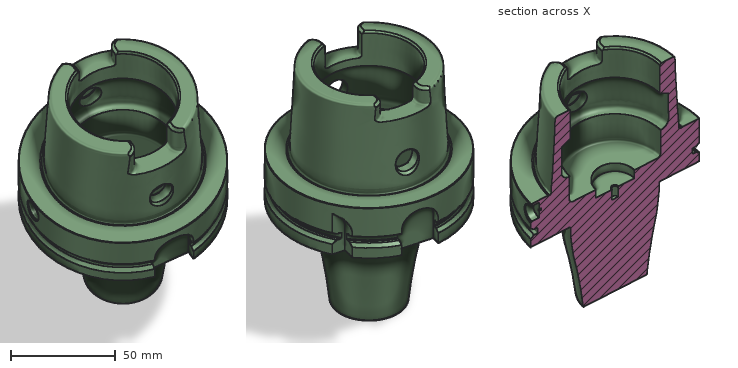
import cadquery as cq
import math

total_height = 136.9

flange_radius = 50.0
flange_bottom = 57.9
flange_top = 86.9
flange_edge_chamfer = 0.3
groove_radius = 46.0
groove_lower_edge = 63.8
groove_upper_edge = 70.4
groove_shoulder_radius = 47.9
groove_chamfer_height = 1.5
groove_bottom = groove_lower_edge + groove_chamfer_height
groove_top = groove_upper_edge - groove_chamfer_height
groove_root_fillet = 0.4

nose_radius = 26.4
nose_root_fillet = 0.7
nose_straight_end = 54.1
nose_bend_radius = 24.8
nose_bend_height = 37.9
nose_shoulder_sag = 0.3
nose_flare_sag = 0.5
nose_tip_radius = 19.0
nose_tip_chamfer = 0.7
nose_tip_chamfer_angle = 30.0

taper_large_radius = 37.9
taper_bottom = 89.7
taper_slope = 0.05
taper_top_radius = taper_large_radius - taper_slope * (total_height - taper_bottom)
rim_fillet = 2.0
neck_radius = 37.8
neck_step = 0.8
neck_fillet = 1.1
relief_outer_radius = 39.7
relief_bottom_radius = neck_radius + neck_fillet
relief_depth = 0.3
relief_bottom = flange_top - relief_depth

mouth_radius = 26.4
mouth_chamfer_radius = 27.4
mouth_chamfer_depth = mouth_chamfer_radius - mouth_radius
shoulder_depth = 19.9
shoulder_angle = 30.0
undercut_radius = 31.5
undercut_end_depth = 40.0
bore_radius = 26.8
bore_depth = 62.4
bore_floor_fillet = 2.0
undercut_fillet = undercut_radius - bore_radius
tube_seat_radius = 11.4
tube_seat_depth = 5.5
center_hole_radius = 1.6
center_hole_chamfer = 0.4
center_hole_depth = 6.8

keyway_half_width = 10.1
keyway_corner_radius = 5.5
keyway_corner_x = 27.0
keyway_depth_minus_x = 10.0
keyway_depth_plus_x = 15.2
keyway_floor_fillet = 2.0
keyway_edge_chamfer = 1.5

cross_hole_radius = 6.0
cross_hole_height = 101.9
cross_hole_chamfer = 1.1

slot_half_width_minus_x = keyway_half_width
slot_half_width_plus_x = 10.7
slot_arc_height = 71.7
slot_floor_x = 44.0
notch_center_y = 41.6
notch_floor_x = 31.8

chip_hole_radius = 4.9
chip_hole_height = 80.1
chip_hole_depth = 4.9
chip_hole_chamfer = 0.7
chip_pin_radius = 0.4
chip_pin_depth = 1.4

clearance = 13.7


def outer_body():
    """Turned outside of the nose, flange and taper."""
    flare_middle = (
        (nose_tip_radius + nose_bend_radius) / 2 - nose_flare_sag,
        (nose_tip_chamfer + nose_bend_height) / 2,
    )
    shoulder_middle = (
        (nose_bend_radius + nose_radius) / 2 + nose_shoulder_sag,
        (nose_bend_height + nose_straight_end) / 2,
    )
    tip_face_radius = nose_tip_radius - nose_tip_chamfer * math.tan(math.radians(nose_tip_chamfer_angle))
    profile = (
        cq.Workplane("XZ")
        .moveTo(0, 0)
        .lineTo(tip_face_radius, 0)
        .lineTo(nose_tip_radius, nose_tip_chamfer)
        .threePointArc(flare_middle, (nose_bend_radius, nose_bend_height))
        .threePointArc(shoulder_middle, (nose_radius, nose_straight_end))
        .lineTo(nose_radius, flange_bottom - nose_root_fillet)
        .radiusArc((nose_radius + nose_root_fillet, flange_bottom), nose_root_fillet)
        .lineTo(flange_radius, flange_bottom)
        .lineTo(flange_radius, groove_lower_edge)
        .lineTo(groove_shoulder_radius, groove_bottom)
        .lineTo(groove_radius + groove_root_fillet, groove_bottom)
        .radiusArc((groove_radius, groove_bottom + groove_root_fillet), groove_root_fillet)
        .lineTo(groove_radius, groove_top - groove_root_fillet)
        .radiusArc((groove_radius + groove_root_fillet, groove_top), groove_root_fillet)
        .lineTo(groove_shoulder_radius, groove_top)
        .lineTo(flange_radius, groove_upper_edge)
        .lineTo(flange_radius, flange_top - flange_edge_chamfer)
        .lineTo(flange_radius - flange_edge_chamfer, flange_top)
        .lineTo(relief_outer_radius, flange_top)
        .lineTo(relief_bottom_radius, relief_bottom)
        .radiusArc((neck_radius, relief_bottom + neck_fillet), neck_fillet)
        .lineTo(neck_radius, taper_bottom - neck_step)
        .lineTo(taper_large_radius, taper_bottom)
        .lineTo(taper_top_radius, total_height)
        .lineTo(0, total_height)
        .close()
    )
    body = profile.revolve(360, (0, 0), (0, 1))
    return body.faces(">Z").edges().fillet(rim_fillet)


def clamping_bore():
    """Stepped hollow inside the taper, with an undercut behind the clamping shoulder."""
    shoulder_height = total_height - shoulder_depth
    shoulder_drop = (undercut_radius - mouth_radius) * math.tan(math.radians(shoulder_angle))
    undercut_start = shoulder_height - shoulder_drop
    undercut_end = total_height - undercut_end_depth
    bore_floor = total_height - bore_depth
    seat_floor = bore_floor - tube_seat_depth
    return (
        cq.Workplane("XZ")
        .moveTo(0, total_height)
        .lineTo(mouth_chamfer_radius, total_height)
        .lineTo(mouth_radius, total_height - mouth_chamfer_depth)
        .lineTo(mouth_radius, shoulder_height)
        .lineTo(undercut_radius, undercut_start)
        .lineTo(undercut_radius, undercut_end)
        .radiusArc((bore_radius, undercut_end - undercut_fillet), undercut_fillet)
        .lineTo(bore_radius, bore_floor + bore_floor_fillet)
        .radiusArc((bore_radius - bore_floor_fillet, bore_floor), bore_floor_fillet)
        .lineTo(tube_seat_radius, bore_floor)
        .lineTo(tube_seat_radius, seat_floor)
        .lineTo(center_hole_radius + center_hole_chamfer, seat_floor)
        .lineTo(center_hole_radius, seat_floor - center_hole_chamfer)
        .lineTo(center_hole_radius, seat_floor - center_hole_depth)
        .lineTo(0, seat_floor - center_hole_depth)
        .close()
        .revolve(360, (0, 0), (0, 1))
    )


def keyway_outline(workplane, side):
    """Keyway in plan: parallel walls whose outer ends flare around the rounded lug corners."""
    inner_x = side * mouth_radius / 2
    corner_x = side * keyway_corner_x
    flare_x = side * (keyway_corner_x + keyway_corner_radius)
    outer_x = side * (flange_radius + clearance)
    corner_y = keyway_half_width + keyway_corner_radius
    outer_y = flange_radius
    middle_x = corner_x + side * keyway_corner_radius * math.sin(math.radians(45))
    middle_y = corner_y - keyway_corner_radius * math.cos(math.radians(45))
    return (
        workplane.moveTo(inner_x, -keyway_half_width)
        .lineTo(corner_x, -keyway_half_width)
        .threePointArc((middle_x, -middle_y), (flare_x, -corner_y))
        .lineTo(flare_x, -outer_y)
        .lineTo(outer_x, -outer_y)
        .lineTo(outer_x, outer_y)
        .lineTo(flare_x, outer_y)
        .lineTo(flare_x, corner_y)
        .threePointArc((middle_x, middle_y), (corner_x, keyway_half_width))
        .lineTo(inner_x, keyway_half_width)
        .close()
    )


def keyway(side, depth):
    """Keyway cutter with a filleted floor and a chamfer along the top of its walls."""
    top = cq.Workplane("XY", origin=(0, 0, total_height))
    slot = keyway_outline(top, side).extrude(-depth)
    slot = slot.faces("<Z").edges().fillet(keyway_floor_fillet)
    bevel = (
        keyway_outline(top, side)
        .offset2D(keyway_edge_chamfer, "intersection")
        .extrude(-keyway_edge_chamfer, taper=45)
    )
    return slot.union(bevel)


def cross_hole():
    """Hole along X through both taper walls, chamfered where it meets the outside."""
    hole = (
        cq.Workplane("YZ", origin=(-flange_radius, 0, cross_hole_height))
        .circle(cross_hole_radius)
        .extrude(2 * flange_radius)
    )
    wall_radius = taper_large_radius - taper_slope * (cross_hole_height - taper_bottom)
    cone_radius = cross_hole_radius + 2 * cross_hole_chamfer
    for side in (-1, 1):
        apex = cq.Vector(side * (wall_radius + cross_hole_chamfer - cone_radius), 0, cross_hole_height)
        hole = hole.union(cq.Solid.makeCone(0, cone_radius, cone_radius, apex, cq.Vector(side, 0, 0)))
    return hole


def flange_slot(side, half_width, center_y, floor_x):
    """Slot open to the flange's lower face, with a flat floor facing outward along X."""
    drop = slot_arc_height - flange_bottom
    floor = cq.Workplane("YZ", origin=(side * floor_x, center_y, slot_arc_height))
    return (
        floor.moveTo(-half_width, -drop)
        .lineTo(-half_width, 0)
        .threePointArc((0, half_width), (half_width, 0))
        .lineTo(half_width, -drop)
        .close()
        .extrude(side * flange_radius)
    )


def chip_hole():
    """Blind chamfered hole with a small pin hole in its floor."""
    outside = cq.Workplane("XZ", origin=(0, -flange_radius, chip_hole_height))
    hole = outside.circle(chip_hole_radius).extrude(-chip_hole_depth)
    pin_hole = outside.circle(chip_pin_radius).extrude(-chip_hole_depth - chip_pin_depth)
    rim = outside.circle(chip_hole_radius + chip_hole_chamfer).extrude(-chip_hole_chamfer, taper=45)
    return hole.union(pin_hole).union(rim)


result = outer_body().cut(clamping_bore())
result = result.cut(keyway(-1, keyway_depth_minus_x))
result = result.cut(keyway(1, keyway_depth_plus_x))
result = result.cut(cross_hole())
result = result.cut(flange_slot(-1, slot_half_width_minus_x, 0, slot_floor_x))
result = result.cut(flange_slot(1, slot_half_width_plus_x, 0, slot_floor_x))
result = result.cut(flange_slot(-1, slot_half_width_minus_x, notch_center_y, notch_floor_x))
result = result.cut(chip_hole())